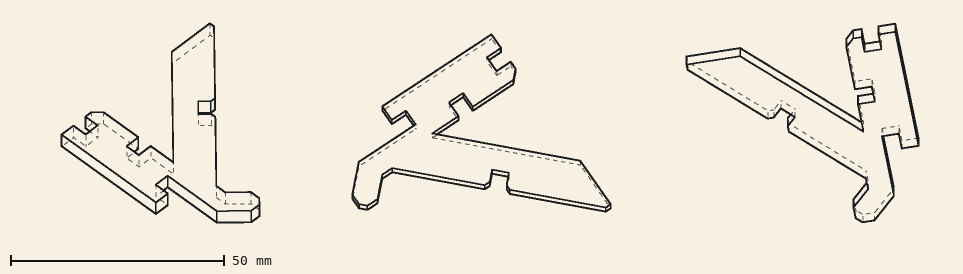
import cadquery as cq
import math


thickness = 4.0
slot_width = thickness

foot_length = 30.9
flange_height = 4.0
side_notch_depth = 4.0
foot_slot_depth = 4.0
foot_chamfer = 2.0
ledge_y = flange_height + slot_width
foot_top_y = ledge_y + foot_slot_depth
neck_right_x = foot_length - side_notch_depth
foot_slot_left_x = (foot_length - slot_width) / 2
foot_slot_right_x = foot_slot_left_x + slot_width

heel_x = 43.0
arm_angle = math.radians(45)
arm_depth = 10.0
arm_slot_depth = 4.0
edge_chamfer = 1.0
lip_thickness = 6.0
lip_height = 10.0
lip_chamfer = 2.0
front_face_end = heel_x / math.cos(arm_angle)
tip_along = front_face_end - edge_chamfer
arm_slot_center = 33.0
arm_slot_low = arm_slot_center - slot_width / 2
arm_slot_high = arm_slot_center + slot_width / 2


def arm_point(along, out):
    """Convert arm coordinates, measured from the heel, to plate X and Y."""
    x = heel_x - along * math.cos(arm_angle) + out * math.sin(arm_angle)
    y = ledge_y + along * math.sin(arm_angle) + out * math.cos(arm_angle)
    return (x, y)


def back_face_x(y):
    """X where the arm's back face crosses height y."""
    return heel_x - arm_depth / math.sin(arm_angle) - (y - ledge_y) / math.tan(arm_angle)


def back_face_y(x):
    """Y where the arm's back face crosses position x."""
    return ledge_y + (back_face_x(ledge_y) - x) * math.tan(arm_angle)


foot_right = [
    (0, 0),
    (foot_length, 0),
    (foot_length, flange_height),
    (neck_right_x, flange_height),
    (neck_right_x, ledge_y),
    (heel_x, ledge_y),
]

lip = [
    arm_point(0, lip_height - lip_chamfer),
    arm_point(lip_chamfer, lip_height),
    arm_point(lip_thickness - lip_chamfer, lip_height),
    arm_point(lip_thickness, lip_height - lip_chamfer),
    arm_point(lip_thickness, lip_chamfer),
    arm_point(lip_thickness + lip_chamfer, 0),
]

arm_slot = [
    arm_point(arm_slot_low - edge_chamfer, 0),
    arm_point(arm_slot_low, -edge_chamfer),
    arm_point(arm_slot_low, -arm_slot_depth),
    arm_point(arm_slot_high, -arm_slot_depth),
    arm_point(arm_slot_high, -edge_chamfer),
    arm_point(arm_slot_high + edge_chamfer, 0),
]

arm_end = [
    arm_point(tip_along - edge_chamfer, 0),
    arm_point(tip_along, -edge_chamfer),
    (0, back_face_y(0)),
    (back_face_x(foot_top_y), foot_top_y),
]

foot_left = [
    (foot_slot_right_x, foot_top_y),
    (foot_slot_right_x, ledge_y),
    (foot_slot_left_x, ledge_y),
    (foot_slot_left_x, foot_top_y),
    (foot_chamfer, foot_top_y),
    (0, foot_top_y - foot_chamfer),
    (0, ledge_y),
    (side_notch_depth, ledge_y),
    (side_notch_depth, flange_height),
    (0, flange_height),
]

outline = foot_right + lip + arm_slot + arm_end + foot_left
result = cq.Workplane("XY").polyline(outline).close().extrude(thickness)